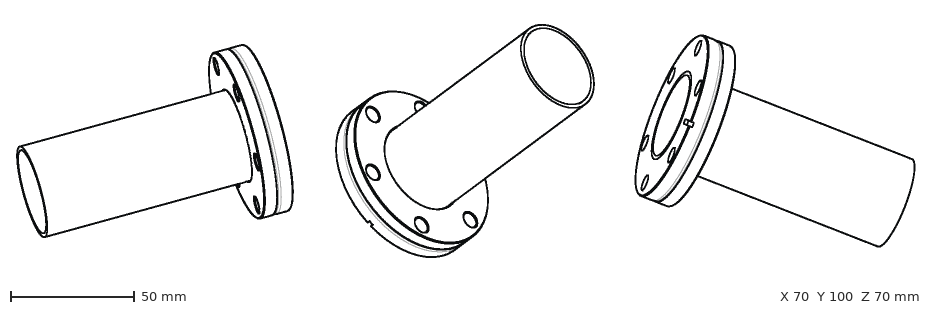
import cadquery as cq
import math

total_length = 100.0
flange_diameter = 70.0
flange_thickness = 12.5
flange_edge_chamfer = 0.4

tube_diameter = 38.2
bore_diameter = 35.0

socket_chamfer = 0.4

bolt_count = 6
bolt_circle_diameter = 58.7
bolt_hole_diameter = 6.6
bolt_hole_chamfer = 0.4

groove_start = 5.3
groove_floor_start = 6.3
groove_end = 6.9
groove_depth = 0.3

leak_groove_angle = 180 / bolt_count
leak_groove_width = 2.0
leak_groove_depth = 1.5
leak_groove_length = 10.0


def cylinder(diameter, length):
    """Cylinder from Y = 0 toward -Y."""
    return cq.Workplane("XZ").circle(diameter / 2).extrude(length)


def countersink(hole_diameter, chamfer):
    """Countersink that opens a hole toward the flange's tube side."""
    radius = hole_diameter / 2
    profile = [
        (0, -flange_thickness),
        (radius + chamfer, -flange_thickness),
        (radius, -flange_thickness + chamfer),
        (0, -flange_thickness + chamfer),
    ]
    return cq.Workplane("XY").polyline(profile).close().revolve(360, (0, 0, 0), (0, 1, 0))


def rim_groove():
    rim = flange_diameter / 2
    floor = rim - groove_depth
    profile = [
        (rim, -groove_start),
        (floor, -groove_floor_start),
        (floor, -groove_end),
        (rim, -groove_end),
    ]
    return cq.Workplane("XY").polyline(profile).close().revolve(360, (0, 0, 0), (0, 1, 0))


def leak_groove():
    """Slot cut in from the rim at the bottom, swung around the axis toward -X."""
    return (
        cq.Workplane("XY")
        .box(leak_groove_width, 2 * leak_groove_depth, 2 * leak_groove_length)
        .translate((0, 0, -flange_diameter / 2))
        .rotate((0, 0, 0), (0, 1, 0), leak_groove_angle)
    )


def make_flange():
    body = cylinder(flange_diameter, flange_thickness).edges().chamfer(flange_edge_chamfer)
    body = body.cut(rim_groove())
    body = body.cut(cylinder(tube_diameter, flange_thickness))
    body = body.cut(countersink(tube_diameter, socket_chamfer))
    bolt_hole = cylinder(bolt_hole_diameter, flange_thickness).union(
        countersink(bolt_hole_diameter, bolt_hole_chamfer)
    )
    for index in range(bolt_count):
        angle = 2 * math.pi * index / bolt_count
        x = bolt_circle_diameter / 2 * math.sin(angle)
        z = bolt_circle_diameter / 2 * math.cos(angle)
        body = body.cut(bolt_hole.translate((x, 0, z)))
    return body.cut(leak_groove())


def make_tube():
    return cylinder(tube_diameter, total_length).cut(cylinder(bore_diameter, total_length))


flange = make_flange()
tube = make_tube()

result = cq.Compound.makeCompound([flange.val(), tube.val()])